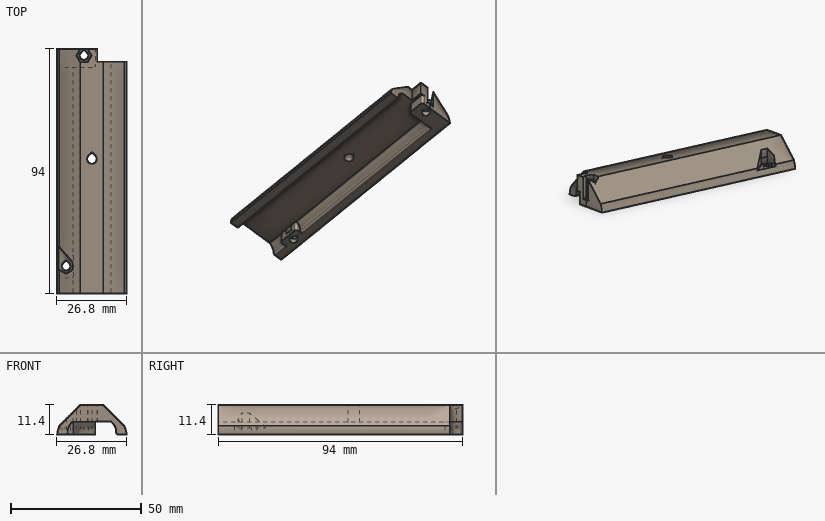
import cadquery as cq
import math

LENGTH = 93.95
WIDTH = 26.8
HEIGHT = 11.43
HALF_LENGTH = LENGTH / 2
HALF_WIDTH = WIDTH / 2

RIDGE_HALF_WIDTH = 4.4
SKIRT_TOP = 3.35
SKIRT_RADIUS = 10.5
CEILING_HEIGHT = 5.0
CEILING_HALF_WIDTH = 7.3
LIP_BOW_X = 8.45
LIP_BOW_Z = 3.8
LIP_INNER_X = 9.25
FOOT_RADIUS = 1.0

NOTCH_X = 2.1
NOTCH_LENGTH = 4.9

SCREW_RADIUS = 1.6
MIDDLE_RADIUS = 1.8
END_SCREW = (-3.05, 44.4)
MIDDLE_HOLE = (0, 4.7)
SIDE_SCREW = (-9.9, -36.45)

NUT_CORNER_RADIUS = 2.9
NUT_HALF_FLATS = NUT_CORNER_RADIUS * math.cos(math.radians(30))
NUT_FLOOR = 2.6
SIDE_POCKET_FLARE = 49

END_BOSS_MARGIN = 4.4
SIDE_BOSS_MARGIN = 2.8
SIDE_BOSS_HALF_LENGTH = 4.4
BOSS_CORNER_RADIUS = 0.95


def rail():
    """Extrude the symmetric cross-section along Y."""
    skirt_top_x = RIDGE_HALF_WIDTH + HEIGHT - SKIRT_TOP
    foot_x = LIP_INNER_X + FOOT_RADIUS
    round_offset = FOOT_RADIUS * (1 - math.cos(math.radians(45)))
    profile = (
        cq.Workplane("XZ", origin=(0, HALF_LENGTH, 0))
        .moveTo(0, HEIGHT)
        .lineTo(RIDGE_HALF_WIDTH, HEIGHT)
        .lineTo(skirt_top_x, SKIRT_TOP)
        .radiusArc((HALF_WIDTH, 0), SKIRT_RADIUS)
        .lineTo(foot_x, 0)
        .threePointArc((LIP_INNER_X + round_offset, round_offset), (LIP_INNER_X, FOOT_RADIUS))
        .threePointArc((LIP_BOW_X, LIP_BOW_Z), (CEILING_HALF_WIDTH, CEILING_HEIGHT))
        .lineTo(0, CEILING_HEIGHT)
        .close()
    )
    half = profile.extrude(LENGTH)
    return half.union(half.mirror("YZ"))


def boss(x_min, x_max, y_min, y_max):
    """Block from the feet up to the ceiling of the hollow, its +X corners rounded."""
    block = cq.Workplane("XY").box(
        x_max - x_min, y_max - y_min, CEILING_HEIGHT, centered=False
    )
    block = block.edges("|Z and >X").fillet(BOSS_CORNER_RADIUS)
    return block.translate((x_min, y_min, 0))


def teardrop(center, radius):
    """Vertical through-hole cutter: a circle with a 45 degree point toward +Y."""
    x, y = center
    tangent = radius * math.cos(math.radians(45))
    return (
        cq.Workplane("XY")
        .moveTo(x - tangent, y + tangent)
        .threePointArc((x, y - radius), (x + tangent, y + tangent))
        .lineTo(x, y + 2 * tangent)
        .close()
        .extrude(HEIGHT)
    )


def end_nut_pocket():
    """Hexagon with corners toward +X and -X, its +Y flat reaching the end face."""
    x, y = END_SCREW
    pocket = (
        cq.Workplane("XY", origin=(x, y, NUT_FLOOR))
        .polygon(6, 2 * NUT_CORNER_RADIUS)
        .extrude(HEIGHT)
    )
    opening = cq.Workplane("XY").box(
        NUT_CORNER_RADIUS, HALF_LENGTH - y, HEIGHT, centered=(True, False, False)
    )
    return pocket.union(opening.translate((x, y, NUT_FLOOR)))


def side_nut_pocket():
    """Hexagon with corners toward +Y and -Y, opened and flared through the -X skirt."""
    x, y = SIDE_SCREW
    half_side = NUT_CORNER_RADIUS / 2
    inner_x = x + NUT_HALF_FLATS
    flare_rise = (inner_x + HALF_WIDTH) * math.tan(math.radians(SIDE_POCKET_FLARE))
    outline = [
        (x, y - NUT_CORNER_RADIUS),
        (inner_x, y - half_side),
        (inner_x, y + half_side),
        (-HALF_WIDTH, y + half_side + flare_rise),
        (-HALF_WIDTH, y - half_side),
        (x - NUT_HALF_FLATS, y - half_side),
    ]
    return (
        cq.Workplane("XY", origin=(0, 0, NUT_FLOOR))
        .polyline(outline)
        .close()
        .extrude(HEIGHT)
    )


def corner_notch():
    """Block removed from the +X, +Y corner over the full height."""
    return cq.Workplane("XY").box(
        HALF_WIDTH - NOTCH_X, NOTCH_LENGTH, HEIGHT, centered=False
    ).translate((NOTCH_X, HALF_LENGTH - NOTCH_LENGTH, 0))


boss_root_x = -(LIP_INNER_X + FOOT_RADIUS)
end_x, end_y = END_SCREW
side_x, side_y = SIDE_SCREW
end_boss = boss(
    boss_root_x, end_x + END_BOSS_MARGIN, end_y - END_BOSS_MARGIN, HALF_LENGTH
)
side_boss = boss(
    boss_root_x, side_x + SIDE_BOSS_MARGIN,
    side_y - SIDE_BOSS_HALF_LENGTH, side_y + SIDE_BOSS_HALF_LENGTH
)

result = (
    rail()
    .union(end_boss)
    .union(side_boss)
    .cut(corner_notch())
    .cut(end_nut_pocket())
    .cut(side_nut_pocket())
    .cut(teardrop(END_SCREW, SCREW_RADIUS))
    .cut(teardrop(MIDDLE_HOLE, MIDDLE_RADIUS))
    .cut(teardrop(SIDE_SCREW, SCREW_RADIUS))
)